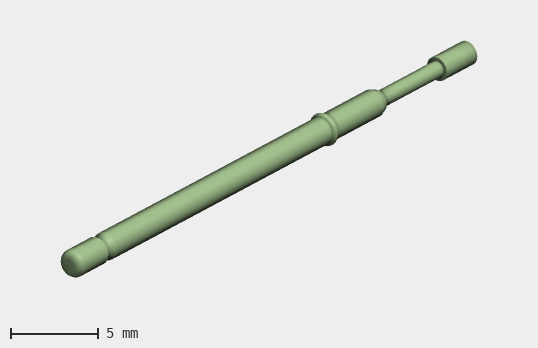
import cadquery as cq
import math

TOTAL_LENGTH = 35.7
TIP_DOME_HEIGHT = 0.3
HEAD_LENGTH = 3.0
BARREL_START = 8.3
COLLAR_CENTRE = 13.05
GROOVE_END = 33.2

HEAD_DIAMETER = 1.47
STEM_DIAMETER = 1.0
BARREL_DIAMETER = 1.68
COLLAR_DIAMETER = 2.0
GROOVE_DIAMETER = 1.4
TAIL_FLAT_DIAMETER = 0.8

MOUTH_DIAMETER = 1.4
MOUTH_TAPER_LENGTH = 0.4
COLLAR_WIDTH = 0.5
GROOVE_FLOOR_WIDTH = 0.35
GROOVE_FLARE_LENGTH = 0.35

HEAD_RADIUS = HEAD_DIAMETER / 2
STEM_RADIUS = STEM_DIAMETER / 2
BARREL_RADIUS = BARREL_DIAMETER / 2
COLLAR_RADIUS = COLLAR_DIAMETER / 2
GROOVE_RADIUS = GROOVE_DIAMETER / 2
MOUTH_RADIUS = MOUTH_DIAMETER / 2
TAIL_FLAT_RADIUS = TAIL_FLAT_DIAMETER / 2
TAIL_ROUND_RADIUS = BARREL_RADIUS - TAIL_FLAT_RADIUS

TIP_Y = COLLAR_CENTRE


def revolve_about_y(half_profile):
    return half_profile.close().revolve(360, (0, 0, 0), (1, 0, 0))


def make_plunger():
    """Round-tipped head on a thinner stem that reaches into the barrel."""
    sphere_radius = (HEAD_RADIUS**2 + TIP_DOME_HEIGHT**2) / (2 * TIP_DOME_HEIGHT)
    mid_radius = HEAD_RADIUS / 2
    mid_drop = sphere_radius - math.sqrt(sphere_radius**2 - mid_radius**2)
    profile = (
        cq.Workplane("YZ")
        .moveTo(TIP_Y, 0)
        .threePointArc((TIP_Y - mid_drop, mid_radius), (TIP_Y - TIP_DOME_HEIGHT, HEAD_RADIUS))
        .lineTo(TIP_Y - HEAD_LENGTH, HEAD_RADIUS)
        .lineTo(TIP_Y - HEAD_LENGTH, STEM_RADIUS)
        .lineTo(0, STEM_RADIUS)
        .lineTo(0, 0)
    )
    return revolve_about_y(profile)


def make_barrel():
    """Tube body with a tapered mouth, a crimp groove and a rounded tail."""
    mouth_y = TIP_Y - BARREL_START
    tail_y = TIP_Y - TOTAL_LENGTH
    groove_end_y = TIP_Y - GROOVE_END
    groove_floor_y = groove_end_y + GROOVE_FLOOR_WIDTH
    profile = (
        cq.Workplane("YZ")
        .moveTo(mouth_y, 0)
        .lineTo(mouth_y, MOUTH_RADIUS)
        .lineTo(mouth_y - MOUTH_TAPER_LENGTH, BARREL_RADIUS)
        .lineTo(groove_floor_y + GROOVE_FLARE_LENGTH, BARREL_RADIUS)
        .lineTo(groove_floor_y, GROOVE_RADIUS)
        .lineTo(groove_end_y, GROOVE_RADIUS)
        .lineTo(groove_end_y, BARREL_RADIUS)
        .lineTo(tail_y + TAIL_ROUND_RADIUS, BARREL_RADIUS)
        .radiusArc((tail_y, TAIL_FLAT_RADIUS), -TAIL_ROUND_RADIUS)
        .lineTo(tail_y, 0)
    )
    return revolve_about_y(profile)


def make_collar():
    """Round-edged press ring around the barrel."""
    half_width = COLLAR_WIDTH / 2
    core_radius = COLLAR_RADIUS - half_width
    profile = (
        cq.Workplane("YZ")
        .moveTo(half_width, 0)
        .lineTo(half_width, core_radius)
        .threePointArc((0, COLLAR_RADIUS), (-half_width, core_radius))
        .lineTo(-half_width, 0)
    )
    return revolve_about_y(profile)


result = make_barrel().union(make_plunger()).union(make_collar())